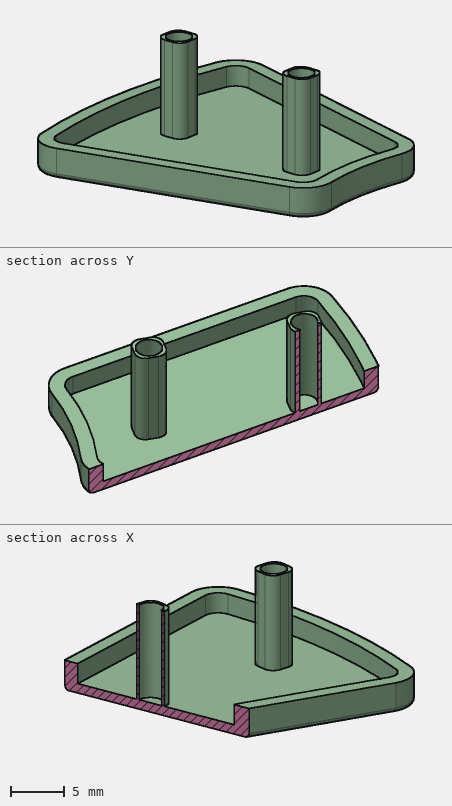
import cadquery as cq
import math

sector_angle = 30.0
mid_radius = 42.32
radial_length = 30.0
side_overhang = 0.73
outer_radius = mid_radius + radial_length / 2
inner_radius = mid_radius - radial_length / 2
corner_radius = 3.0

tray_height = 3.0
wall = 1.5
floor_thickness = 1.0
bottom_fillet = 0.5

total_height = 10.5
post_spacing = 15.0
post_side = 3.03
post_corner_radius = 1.02
post_bore = 2.5

centreline_angle = 180 - sector_angle / 2


def polar(radius, angle):
    return (radius * math.cos(math.radians(angle)), radius * math.sin(math.radians(angle)))


def sector(inset, height):
    """Round-cornered ring sector, with its outline moved inwards by inset."""
    far_radius = outer_radius - inset
    near_radius = inner_radius + inset
    side_offset = inset - side_overhang

    def corner(radius, side):
        half_angle = sector_angle / 2 - math.degrees(math.asin(side_offset / radius))
        return polar(radius, centreline_angle + side * half_angle)

    return (
        cq.Workplane("XY")
        .moveTo(*corner(far_radius, 1))
        .threePointArc(polar(far_radius, centreline_angle), corner(far_radius, -1))
        .lineTo(*corner(near_radius, -1))
        .threePointArc(polar(near_radius, centreline_angle), corner(near_radius, 1))
        .close()
        .extrude(height)
        .edges("|Z")
        .fillet(corner_radius - inset)
    )


def tray():
    body = sector(0, tray_height).faces("<Z").edges().fillet(bottom_fillet)
    pocket = sector(wall, tray_height).translate((0, 0, floor_thickness))
    return body.cut(pocket)


def post(radius):
    """Rounded-square tube standing on the tray floor, open at the top."""
    height = total_height - floor_thickness
    tube = (
        cq.Workplane("XY")
        .rect(post_side, post_side)
        .extrude(height)
        .edges("|Z")
        .fillet(post_corner_radius)
        .cut(cq.Workplane("XY").circle(post_bore / 2).extrude(height))
    )
    x, y = polar(radius, centreline_angle)
    return tube.rotate((0, 0, 0), (0, 0, 1), centreline_angle).translate((x, y, floor_thickness))


result = tray()
for side in (-1, 1):
    result = result.union(post(mid_radius + side * post_spacing / 2))